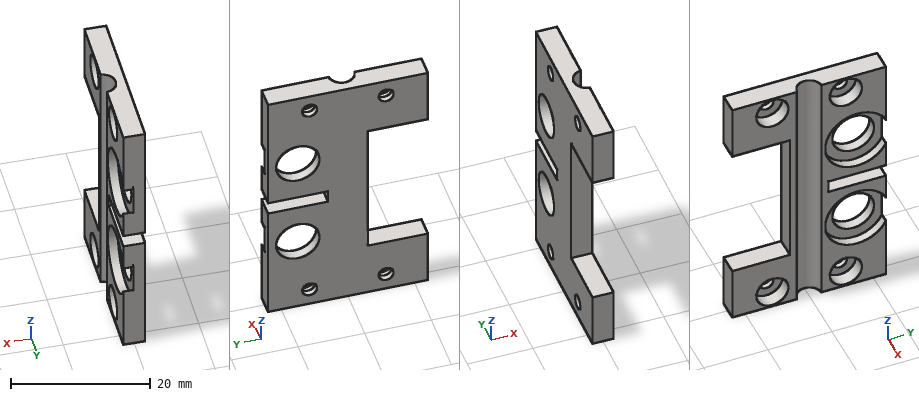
import cadquery as cq

thickness = 3.25
width = 24.0
height = 40.0

notch_depth = 9.0
notch_height = 22.1
slot_depth = 9.0
slot_height = 2.0

screw_hole_diameter = 2.2
screw_recess_diameter = 5.0
screw_recess_depth = 2.25
screw_spacing_y = 11.5
screw_spacing_z = 34.5
large_hole_diameter = 6.5
large_recess_diameter = 10.0
large_recess_depth = 1.5
large_hole_y = 7.5
large_hole_spacing_z = 15.0

groove_diameter = 3.85
groove_depth = 1.75


def edge_cutout(side, depth, cut_height):
    """Box reaching inward from the -Y (side = -1) or +Y (side = 1) edge."""
    center_y = side * (width - depth) / 2
    return cq.Workplane("XY").box(thickness, depth, cut_height).translate((0, center_y, 0))


plate = cq.Workplane("XY").box(thickness, width, height)
plate = plate.cut(edge_cutout(-1, notch_depth, notch_height))
plate = plate.cut(edge_cutout(1, slot_depth, slot_height))


def stepped_hole_cutter(diameter, recess_diameter, recess_depth):
    """Through hole along X with a round recess sunk into the +X face."""
    hole = cq.Workplane("YZ").circle(diameter / 2).extrude(thickness, both=True)
    recess = (
        cq.Workplane("YZ")
        .workplane(offset=thickness / 2 - recess_depth)
        .circle(recess_diameter / 2)
        .extrude(recess_depth)
    )
    return hole.union(recess)


screw_cutter = stepped_hole_cutter(screw_hole_diameter, screw_recess_diameter, screw_recess_depth)
large_cutter = stepped_hole_cutter(large_hole_diameter, large_recess_diameter, large_recess_depth)

for side_z in (-1, 1):
    for side_y in (-1, 1):
        screw_position = (0, side_y * screw_spacing_y / 2, side_z * screw_spacing_z / 2)
        plate = plate.cut(screw_cutter.translate(screw_position))
    large_position = (0, large_hole_y, side_z * large_hole_spacing_z / 2)
    plate = plate.cut(large_cutter.translate(large_position))

groove_center_x = thickness / 2 - groove_depth + groove_diameter / 2
groove = (
    cq.Workplane("XY")
    .center(groove_center_x, 0)
    .circle(groove_diameter / 2)
    .extrude(height, both=True)
)

result = plate.cut(groove)